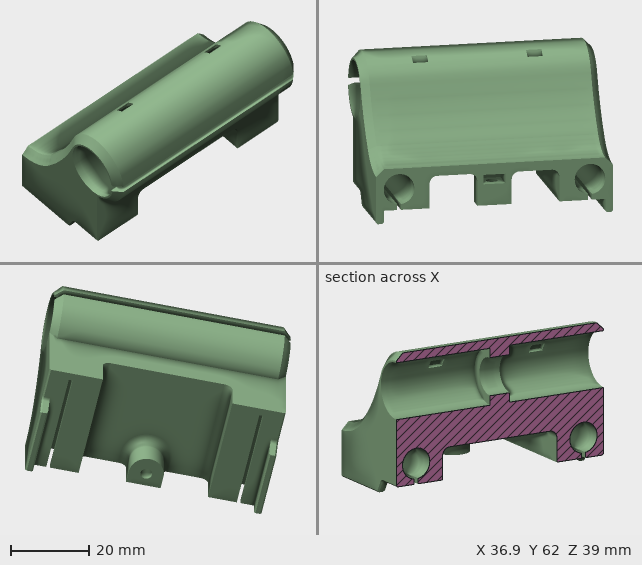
import cadquery as cq
import math

length = 62.0
half_length = length / 2
block_depth = 29.0
end_chamfer = 2.0

tube_x = 27.0
tube_z = 29.0
tube_radius = 10.0
bearing_radius = 7.5
rod_clearance_radius = 5.0
bearing_stop_width = 6.0
slit_height = 2.0

toe_radius = 12.0
toe_z = 14.5
ramp_radius = 45.0

base_z = 3.5
leg_width = 2.0
leg_depth = 18.0
leg_slope_run = 2.0
leg_corner_radius = 1.0
leg_edge_chamfer = 0.4

socket_radius = 4.0
socket_y = 25.0
socket_z = 9.0
socket_end_wall = 2.0
relief_width = 1.0

opening_outer_y = 17.0
opening_top_z = 12.0
opening_corner_radius = 2.0
tab_half_width = 4.5
tab_round_x = 3.5

nut_slot_width = 5.7
nut_slot_bottom_z = 9.1
nut_slot_top_z = 11.6
screw_diameter = 3.0

strap_y = 15.0
strap_width = 4.0
strap_thickness = 1.5
strap_inner_offset = 7.1
strap_tilt = 20.0


def box(x0, x1, y0, y1, z0, z1):
    """Axis-aligned box between the given limits."""
    return cq.Workplane("XY").box(x1 - x0, y1 - y0, z1 - z0, centered=False).translate((x0, y0, z0))


def y_cylinder(radius, y0, y1):
    """Cylinder on the tube axis between two Y positions."""
    plane = cq.Plane(origin=(tube_x, y0, tube_z), xDir=(1, 0, 0), normal=(0, 1, 0))
    return cq.Workplane(plane).circle(radius).extrude(y1 - y0)


def point_at(center, radius, angle):
    """Point in the XZ plane at a polar angle around a centre."""
    return (center[0] + radius * math.cos(angle), center[1] + radius * math.sin(angle))


def edges_between(z0, z1):
    """Selector for edges whose centre lies between two heights."""
    return cq.selectors.BoxSelector((-block_depth, -length, z0), (2 * block_depth, length, z1))


def make_block():
    """Block under the tube, with its chamfered concave front surface."""
    toe_center = (0.0, toe_z + toe_radius)
    tube_center = (tube_x, tube_z)

    to_toe = ramp_radius - toe_radius
    to_tube = ramp_radius + tube_radius
    dx = toe_center[0] - tube_center[0]
    dz = toe_center[1] - tube_center[1]
    span = math.hypot(dx, dz)
    cos_corner = (to_tube**2 + span**2 - to_toe**2) / (2 * to_tube * span)
    ramp_direction = math.atan2(dz, dx) % (2 * math.pi) - math.acos(cos_corner)
    ramp_center = point_at(tube_center, to_tube, ramp_direction)

    toe_end_angle = math.atan2(toe_center[1] - ramp_center[1], toe_center[0] - ramp_center[0])
    ramp_end_angle = ramp_direction - math.pi
    toe_middle_angle = (toe_end_angle - math.pi / 2) / 2
    ramp_middle_angle = (toe_end_angle + ramp_end_angle) / 2

    block = (
        cq.Workplane("XZ", origin=(0, half_length, 0))
        .moveTo(0, 0)
        .lineTo(leg_depth, 0)
        .lineTo(leg_depth + leg_slope_run, base_z)
        .lineTo(block_depth, base_z)
        .lineTo(block_depth, tube_z)
        .lineTo(tube_x, tube_z)
        .lineTo(*point_at(tube_center, tube_radius, ramp_direction))
        .threePointArc(
            point_at(ramp_center, ramp_radius, ramp_middle_angle),
            point_at(ramp_center, ramp_radius, toe_end_angle),
        )
        .threePointArc(point_at(toe_center, toe_radius, toe_middle_angle), (0, toe_z))
        .close()
        .extrude(length)
    )
    leg_corner = cq.selectors.NearestToPointSelector((leg_depth + leg_slope_run, 0, base_z))
    block = block.edges("|Y").edges(leg_corner).fillet(leg_corner_radius)

    split_z = base_z + leg_corner_radius
    front_surface = edges_between(split_z, tube_z + tube_radius)
    underside = edges_between(-leg_edge_chamfer, split_z)
    block = block.faces("<Y or >Y").edges("%CIRCLE").edges(front_surface).chamfer(end_chamfer)
    block = block.faces("<Y or >Y").edges(underside).chamfer(leg_edge_chamfer)

    inner_y = half_length - leg_width
    block = block.cut(box(0, block_depth, -inner_y, inner_y, 0, base_z))
    for side in (-1, 1):
        inner_edge = cq.selectors.NearestToPointSelector((leg_depth / 2, side * inner_y, 0))
        block = block.edges("|X").edges(inner_edge).chamfer(leg_edge_chamfer)
    return block


def make_belt_cavity():
    """Cavity open to front and rear, wrapped around a centre tab with a half-round rear end."""
    tab = box(0, tab_round_x, -tab_half_width, tab_half_width, 0, opening_top_z)
    tab_end = cq.Workplane("XY").center(tab_round_x, 0).circle(tab_half_width).extrude(opening_top_z)
    cavity = box(0, block_depth, -opening_outer_y, opening_outer_y, 0, opening_top_z)
    cavity = cavity.cut(tab.union(tab_end))
    return cavity.faces(">Z").edges("|X or %CIRCLE").fillet(opening_corner_radius)


def make_bearing_bore():
    """Bearing pockets from both ends, a narrower stop between them and the clamping slit."""
    half_stop = bearing_stop_width / 2
    bore = y_cylinder(rod_clearance_radius, -half_length, half_length)
    bore = bore.union(y_cylinder(bearing_radius, half_stop, half_length))
    bore = bore.union(y_cylinder(bearing_radius, -half_length, -half_stop))
    half_slit = slit_height / 2
    slit = box(
        tube_x, tube_x + tube_radius, -half_length, half_length, tube_z - half_slit, tube_z + half_slit
    )
    return bore.union(slit)


def make_socket(y):
    """Blind round socket with a relief slot down to the base."""
    depth = block_depth - socket_end_wall
    socket = cq.Workplane("YZ").center(y, socket_z).circle(socket_radius).extrude(depth)
    half_relief = relief_width / 2
    return socket.union(box(0, depth, y - half_relief, y + half_relief, base_z, socket_z))


def make_nut_trap():
    """Nut slot entered from the front, over a screw hole from below."""
    half_nut = nut_slot_width / 2
    slot = box(0, tab_round_x + half_nut, -half_nut, half_nut, nut_slot_bottom_z, nut_slot_top_z)
    hole = cq.Workplane("XY").center(tab_round_x, 0).circle(screw_diameter / 2).extrude(nut_slot_top_z)
    return slot.union(hole)


def make_strap_slot(y):
    """Inclined slot passing the front of the bearing, from the tube top to the axis level."""
    slot = box(
        -strap_inner_offset - strap_thickness, -strap_inner_offset,
        y - strap_width / 2, y + strap_width / 2,
        0, tube_radius,
    )
    return slot.rotate((0, 0, 0), (0, 1, 0), strap_tilt).translate((tube_x, 0, tube_z))


result = make_block()
tube = y_cylinder(tube_radius, -half_length, half_length)
result = result.union(tube.faces("<Y or >Y").chamfer(end_chamfer))
result = result.cut(make_belt_cavity())
result = result.cut(make_bearing_bore())
result = result.cut(make_nut_trap())
for side in (-1, 1):
    result = result.cut(make_socket(side * socket_y))
    result = result.cut(make_strap_slot(side * strap_y))